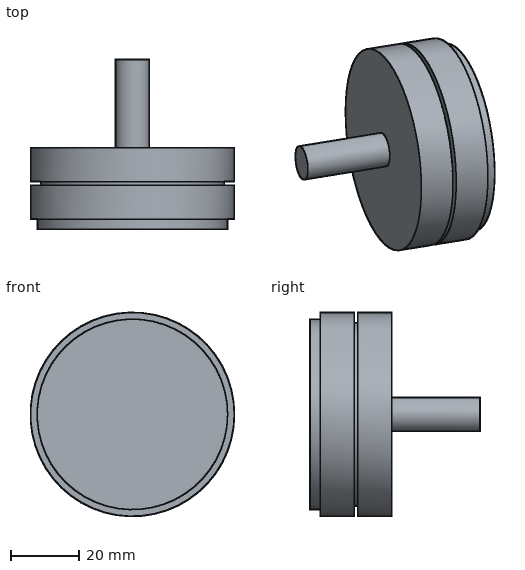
import cadquery as cq

total_length = 50.0
disc_diameter = 60.0
disc_thickness = 10.0
face_diameter = 56.0
face_thickness = 3.0
groove_diameter = 54.0
groove_width = 1.0
stem_diameter = 10.0

front_disc_start = face_thickness
groove_start = front_disc_start + disc_thickness
rear_disc_start = groove_start + groove_width
stem_start = rear_disc_start + disc_thickness
stem_length = total_length - stem_start


def cylinder(diameter, start, length):
    """Solid cylinder on the Y axis running from start toward +Y."""
    return cq.Workplane("XZ", origin=(0, start, 0)).circle(diameter / 2).extrude(-length)


face = cylinder(face_diameter, 0, face_thickness)
front_disc = cylinder(disc_diameter, front_disc_start, disc_thickness)
groove_core = cylinder(groove_diameter, groove_start, groove_width)
rear_disc = cylinder(disc_diameter, rear_disc_start, disc_thickness)
stem = cylinder(stem_diameter, stem_start, stem_length)

result = face.union(front_disc).union(groove_core).union(rear_disc).union(stem)